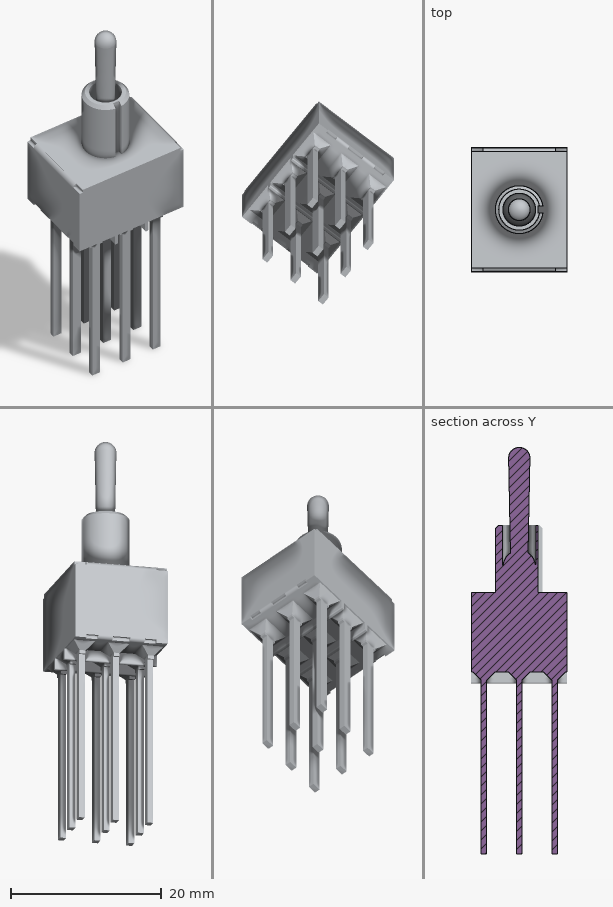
import cadquery as cq
import math

CASE_X = 12.7
CASE_Y = 16.51
CASE_Z = 10.6

STRAP_WIDTH = 9.6
STRAP_BEND_RADIUS = 0.65
STRAP_THICKNESS = 0.45
STRAP_BOTTOM_Z = STRAP_THICKNESS
CORNER_LEDGE = 0.5
TAB_WIDTH = 2.0
TAB_PITCH = 4.4

BUSHING_DIA = 6.35
BUSHING_HEIGHT = 8.95
BUSHING_CHAMFER = 0.45
BORE_DIA = 4.35
BORE_DEPTH = 5.5
KEYWAY_WIDTH = 0.95
KEYWAY_FLOOR_X = 2.5

LEVER_HEIGHT = 10.34
LEVER_TIP_DIA = 2.9
LEVER_NECK_DIA = 2.4

OVERALL_Z = 54.04
PIN_COUNT = 3
PIN_PITCH_X = 4.7
PIN_PITCH_Y = 4.8
PIN_X = 0.8
PIN_Y = 1.25
SHOULDER_Y = 2.0
SHOULDER_DEPTH = 1.5
FLARE_DEPTH = 1.05

RIB_THICKNESS = 0.5
RIB_DEPTH = 1.5
RIB_EDGE_RADIUS = 0.15

BUSHING_TOP_Z = CASE_Z + BUSHING_HEIGHT
LEVER_TOP_Z = BUSHING_TOP_Z + LEVER_HEIGHT
PIN_LENGTH = OVERALL_Z - LEVER_TOP_Z


def hanging_box(size_x, size_y, depth):
    """Box centred on the Z axis, hanging below the case underside."""
    return cq.Workplane("XY").rect(size_x, size_y).extrude(-depth)


def centred_positions(count, pitch):
    return [(i - (count - 1) / 2) * pitch for i in range(count)]


def make_case():
    core_height = CASE_Z - CORNER_LEDGE
    core = cq.Workplane("XY").box(CASE_X, CASE_Y, core_height, centered=(True, True, False))
    top_plate = (
        cq.Workplane("XY")
        .workplane(offset=core_height)
        .rect(CASE_X, CASE_Y - 2 * CORNER_LEDGE)
        .extrude(CORNER_LEDGE)
    )
    case = core.union(top_plate)

    for side in (-1, 1):
        channel = cq.Workplane("XY").box(
            STRAP_WIDTH, STRAP_THICKNESS, CASE_Z, centered=(True, True, False)
        )
        case = case.cut(channel.translate((0, side * (CASE_Y - STRAP_THICKNESS) / 2, 0)))
    return case.union(make_strap())


def make_strap():
    height = CASE_Z - STRAP_BOTTOM_Z
    inside_y = CASE_Y - 2 * STRAP_THICKNESS
    strap = (
        cq.Workplane("XY")
        .workplane(offset=STRAP_BOTTOM_Z)
        .rect(STRAP_WIDTH, CASE_Y)
        .extrude(height)
        .edges("|X and >Z")
        .fillet(STRAP_BEND_RADIUS)
    )

    tab_profile = (
        cq.Workplane("YZ")
        .moveTo(inside_y / 2, 0)
        .radiusArc((CASE_Y / 2, STRAP_BOTTOM_Z), -STRAP_THICKNESS)
        .lineTo(inside_y / 2, STRAP_BOTTOM_Z)
        .close()
        .extrude(TAB_WIDTH / 2, both=True)
    )
    for x in centred_positions(2, TAB_PITCH):
        tab = tab_profile.translate((x, 0, 0))
        strap = strap.union(tab).union(tab.mirror("XZ"))
    return strap


def make_bushing_and_lever():
    outer_r = BUSHING_DIA / 2
    ball_r = BORE_DIA / 2
    neck_r = LEVER_NECK_DIA / 2
    tip_r = LEVER_TIP_DIA / 2
    ball_z = BUSHING_TOP_Z - BORE_DEPTH
    neck_z = ball_z + math.sqrt(ball_r**2 - neck_r**2)
    ball_angle = math.acos(neck_r / ball_r) / 2
    ball_mid = (ball_r * math.cos(ball_angle), ball_z + ball_r * math.sin(ball_angle))
    dome_z = LEVER_TOP_Z - tip_r
    dome_mid_offset = tip_r * math.sqrt(0.5)
    dome_mid = (dome_mid_offset, dome_z + dome_mid_offset)

    turned = (
        cq.Workplane("XZ")
        .moveTo(0, CASE_Z)
        .lineTo(outer_r, CASE_Z)
        .lineTo(outer_r, BUSHING_TOP_Z - BUSHING_CHAMFER)
        .lineTo(outer_r - BUSHING_CHAMFER, BUSHING_TOP_Z)
        .lineTo(ball_r, BUSHING_TOP_Z)
        .lineTo(ball_r, ball_z)
        .threePointArc(ball_mid, (neck_r, neck_z))
        .lineTo(tip_r, dome_z)
        .threePointArc(dome_mid, (0, LEVER_TOP_Z))
        .close()
        .revolve(360, (0, 0, 0), (0, 1, 0))
    )
    keyway = cq.Workplane("XY").box(
        BUSHING_DIA, KEYWAY_WIDTH, BUSHING_HEIGHT, centered=(False, True, False)
    )
    return turned.cut(keyway.translate((KEYWAY_FLOOR_X, 0, CASE_Z)))


def make_terminal():
    flare = (
        cq.Workplane("XY")
        .rect(PIN_X + 2 * FLARE_DEPTH, SHOULDER_Y + 2 * FLARE_DEPTH)
        .workplane(offset=-FLARE_DEPTH)
        .rect(PIN_X, SHOULDER_Y)
        .loft(ruled=True)
    )
    shoulder = hanging_box(PIN_X, SHOULDER_Y, SHOULDER_DEPTH)
    pin = hanging_box(PIN_X, PIN_Y, PIN_LENGTH)
    return flare.union(shoulder).union(pin)


def make_rib():
    rib = hanging_box(CASE_X, RIB_THICKNESS, RIB_DEPTH)
    return rib.edges("|X and <Z").fillet(RIB_EDGE_RADIUS)


result = make_case().union(make_bushing_and_lever())

terminal = make_terminal()
for pin_x in centred_positions(PIN_COUNT, PIN_PITCH_X):
    for pin_y in centred_positions(PIN_COUNT, PIN_PITCH_Y):
        result = result.union(terminal.translate((pin_x, pin_y, 0)))

rib = make_rib()
for rib_y in centred_positions(PIN_COUNT - 1, PIN_PITCH_Y):
    result = result.union(rib.translate((0, rib_y, 0)))